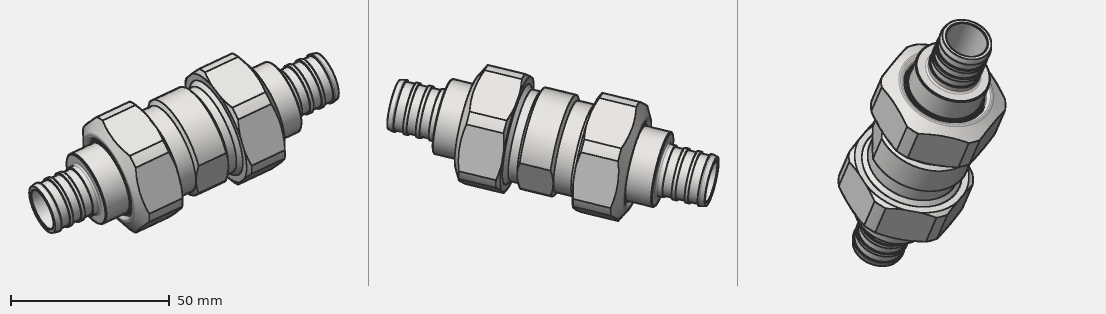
import cadquery as cq
import math

total_length = 104.3
tail_end = total_length / 2
cone_slope = math.tan(math.radians(60))

neck_diameter = 29.8
thread_diameter = 32.7
housing_end = 22.9
hub_diameter = 33.0
hub_flat_width = 30.0
hub_back = -4.6
hub_front = 7.4
hub_bevel = (hub_diameter - neck_diameter) / 2 / cone_slope

nut_across_flats = 37.1
nut_across_rounded_corners = 40.7
nut_front = 27.8
nut_back = 11.8
nut_front_bevel = 2.9
nut_back_bevel = 0.9
nut_bore_diameter = 26.9
nut_rim_fillet = 1.0
nut_mouth_fillet = 1.0

tail_bore_diameter = 13.5
tail_bore_chamfer = 0.2
shank_diameter = 25.9
shank_end = 27.4
shank_chamfer = 0.3
shoulder_diameter = 24.4
shoulder_end = 36.1
shoulder_chamfer = 0.3
core_diameter = 15.8
barb_diameter = 16.9
barb_root_fillet = 0.6
collar_end = 38.4
barb_spans = [(41.4, 42.6), (45.7, 46.8)]
head_start = 49.9
head_taper_start = 50.5
head_tip_diameter = 16.1


def cylinder(diameter, start, end):
    """Cylinder on the Y axis between two stations."""
    return cq.Workplane("XZ", origin=(0, start, 0)).circle(diameter / 2).extrude(start - end)


def turned(profile):
    """Solid turned about the Y axis from (radius, station) points."""
    return cq.Workplane("XY").polyline(profile).close().revolve(360, (0, 0), (0, 1))


def make_housing():
    neck_radius = neck_diameter / 2
    thread_radius = thread_diameter / 2
    neck_end = nut_back - (thread_radius - neck_radius)
    barrel = turned([
        (0, -housing_end),
        (thread_radius, -housing_end),
        (thread_radius, -nut_back),
        (neck_radius, -neck_end),
        (neck_radius, neck_end),
        (thread_radius, nut_back),
        (thread_radius, housing_end),
        (0, housing_end),
    ])

    hub_radius = hub_diameter / 2
    hub = turned([
        (0, hub_back),
        (neck_radius, hub_back),
        (hub_radius, hub_back + hub_bevel),
        (hub_radius, hub_front - hub_bevel),
        (neck_radius, hub_front),
        (0, hub_front),
    ])
    flats = cq.Workplane("XY").box(hub_flat_width, total_length, hub_diameter)
    return barrel.union(hub.intersect(flats))


def make_nut():
    corner_radius = nut_across_rounded_corners / 2
    turned_blank = turned([
        (0, nut_back),
        (corner_radius - nut_back_bevel * cone_slope, nut_back),
        (corner_radius, nut_back + nut_back_bevel),
        (corner_radius, nut_front - nut_front_bevel),
        (corner_radius - nut_front_bevel * cone_slope, nut_front),
        (0, nut_front),
    ])
    across_corners = nut_across_flats / math.cos(math.radians(30))
    hexagon = (
        cq.Workplane("XZ", origin=(0, nut_back, 0))
        .polygon(6, across_corners)
        .extrude(nut_back - nut_front)
    )
    nut = turned_blank.intersect(hexagon)
    nut = nut.faces(">Y").edges().fillet(nut_rim_fillet)
    nut = nut.cut(cylinder(nut_bore_diameter, nut_back, nut_front))
    nut = nut.faces(">Y").edges(cq.selectors.RadiusNthSelector(0)).fillet(nut_mouth_fillet)
    return nut.cut(cylinder(thread_diameter, nut_back, housing_end))


def make_tail():
    barb_radius = barb_diameter / 2
    shank = cylinder(shank_diameter, housing_end, shank_end)
    tail = shank.faces(">Y").edges().chamfer(shank_chamfer)
    shoulder = cylinder(shoulder_diameter, shank_end, shoulder_end)
    tail = tail.union(shoulder.faces(">Y").edges().chamfer(shoulder_chamfer))
    tail = tail.union(cylinder(core_diameter, shoulder_end, tail_end))

    root = (
        cq.Workplane("XY")
        .moveTo(0, shoulder_end)
        .lineTo(barb_radius + barb_root_fillet, shoulder_end)
        .radiusArc((barb_radius, shoulder_end + barb_root_fillet), barb_root_fillet)
        .lineTo(barb_radius, collar_end)
        .lineTo(0, collar_end)
        .close()
        .revolve(360, (0, 0), (0, 1))
    )
    tail = tail.union(root)

    for start, end in barb_spans:
        tail = tail.union(cylinder(barb_diameter, start, end))

    head = turned([
        (0, head_start),
        (barb_radius, head_start),
        (barb_radius, head_taper_start),
        (head_tip_diameter / 2, tail_end),
        (0, tail_end),
    ])
    tail = tail.union(head).cut(cylinder(tail_bore_diameter, housing_end, tail_end))
    bore_rim = tail.faces(">Y").edges(cq.selectors.RadiusNthSelector(0))
    return tail.newObject(bore_rim.vals()).chamfer(tail_bore_chamfer)


housing = make_housing()
nuts = []
tails = []
for turn in (0, 180):
    nuts.append(make_nut().rotate((0, 0, 0), (0, 0, 1), turn).val())
    tails.append(make_tail().rotate((0, 0, 0), (0, 0, 1), turn).val())

result = cq.Compound.makeCompound([housing.val(), *nuts, *tails])